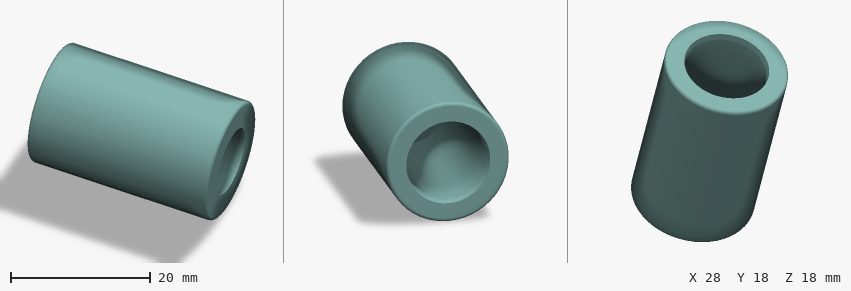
import cadquery as cq

length = 28.0
outer_diameter = 18.0
edge_radius = 0.5

wide_bore_diameter = 12.0
narrow_bore_diameter = 10.0
narrow_bore_length = 2.0
mouth_taper_width = 0.17
mouth_taper_depth = 1.0

start_x = -length / 2
end_x = length / 2
wide_bore_radius = wide_bore_diameter / 2


def make_body():
    """Solid cylinder with both outer rims rounded."""
    cylinder = cq.Workplane("YZ", origin=(start_x, 0, 0)).circle(outer_diameter / 2).extrude(length)
    return cylinder.edges("%CIRCLE").fillet(edge_radius)


def make_bore():
    """Revolved bore with a tapered mouth and an inner step."""
    step_x = end_x - narrow_bore_length
    profile = (
        cq.Workplane("XY")
        .moveTo(start_x, 0)
        .lineTo(start_x, wide_bore_radius + mouth_taper_width)
        .lineTo(start_x + mouth_taper_depth, wide_bore_radius)
        .lineTo(step_x, wide_bore_radius)
        .lineTo(step_x, narrow_bore_diameter / 2)
        .lineTo(end_x, narrow_bore_diameter / 2)
        .lineTo(end_x, 0)
        .close()
    )
    return profile.revolve(360, (0, 0, 0), (1, 0, 0))


result = make_body().cut(make_bore())